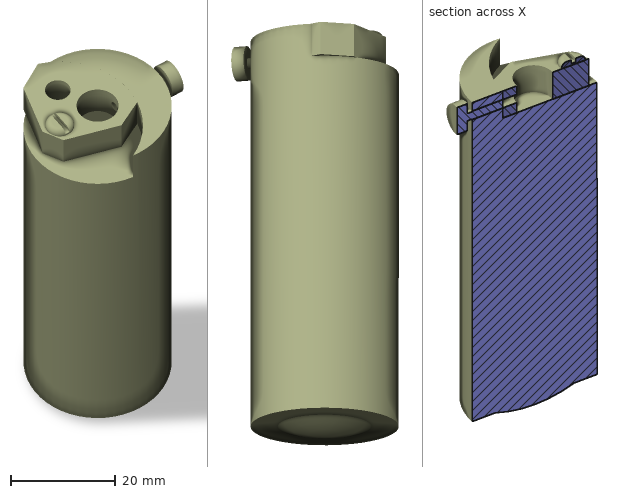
import cadquery as cq
import math

barrel_radius = 14.25
barrel_height = 76.3
dome_radius = 9.0
dome_height = 1.6

plate_thickness = 6.4
plate_bottom = barrel_height - plate_thickness
pivot_y = -8.8
swing_radius = 16.0
plate_tip_x = -15.1
plate_stop_x = 3.6
plate_lower_left = (-11.7, -9.3)
plate_front = (-0.55, -12.4)
plate_front_right = (3.5, -10.3)
plate_right = (6.65, 1.0)
large_hole_radius = 4.0
small_hole_radius = 2.45
small_hole_center = (-7.5, -4.1)

screw_head_radius = 2.8
screw_head_height = 1.3
screw_head_rounding = 1.2
slot_width = 0.95
slot_depth = 0.9

thumb_outer_y = 17.7
thumb_head_thickness = 2.45
thumb_head_radius = 3.3
thumb_shank_radius = 1.0
thumb_tip_y = pivot_y + swing_radius
thumb_z = barrel_height - 3.1


def swing_point(x):
    """Point at the given x on the upper half of the swing circle."""
    return (x, pivot_y + math.sqrt(swing_radius**2 - x**2))


def make_thumb_rod(inner_y):
    """Rod on the thumb screw axis from its head to inner_y: the shank, or a cutter for its hole."""
    shank_start_y = thumb_outer_y - thumb_head_thickness
    return (
        cq.Workplane("XZ", origin=(0, shank_start_y, thumb_z))
        .circle(thumb_shank_radius)
        .extrude(shank_start_y - inner_y)
    )


def make_housing():
    barrel = cq.Workplane("XY").circle(barrel_radius).extrude(barrel_height)
    dome = (
        cq.Workplane("XZ")
        .moveTo(0, 0)
        .lineTo(dome_radius, 0)
        .radiusArc((0, -dome_height), (dome_radius**2 + dome_height**2) / (2 * dome_height))
        .close()
        .revolve(360, (0, 0, 0), (0, 1, 0))
    )
    swing_disc = (
        cq.Workplane("XY", origin=(0, pivot_y, plate_bottom))
        .circle(swing_radius)
        .extrude(plate_thickness)
    )
    return barrel.union(dome).cut(swing_disc).cut(make_thumb_rod(thumb_tip_y))


def make_plate():
    blank = (
        cq.Workplane("XY", origin=(0, 0, plate_bottom))
        .moveTo(*swing_point(plate_tip_x))
        .threePointArc(swing_point((plate_tip_x + plate_stop_x) / 2), swing_point(plate_stop_x))
        .lineTo(*plate_right)
        .lineTo(*plate_front_right)
        .lineTo(*plate_front)
        .lineTo(*plate_lower_left)
        .close()
        .extrude(plate_thickness)
    )
    holes = (
        cq.Workplane("XY", origin=(0, 0, plate_bottom))
        .circle(large_hole_radius)
        .moveTo(*small_hole_center)
        .circle(small_hole_radius)
        .extrude(plate_thickness)
    )
    return blank.cut(holes).cut(make_thumb_rod(0))


def make_pivot_screw():
    head = (
        cq.Workplane("XY", origin=(0, pivot_y, barrel_height))
        .circle(screw_head_radius)
        .extrude(screw_head_height)
        .faces(">Z")
        .edges()
        .fillet(screw_head_rounding)
    )
    slot = (
        cq.Workplane("XY", origin=(0, pivot_y, barrel_height + screw_head_height - slot_depth))
        .rect(2 * screw_head_radius, slot_width)
        .extrude(slot_depth)
    )
    return head.cut(slot)


def make_thumb_screw():
    head = (
        cq.Workplane("XZ", origin=(0, thumb_outer_y, thumb_z))
        .circle(thumb_head_radius)
        .extrude(thumb_head_thickness)
    )
    return head.union(make_thumb_rod(thumb_tip_y))


housing = make_housing()
plate = make_plate()
pivot_screw = make_pivot_screw()
thumb_screw = make_thumb_screw()

result = cq.Compound.makeCompound(
    [housing.val(), plate.val(), pivot_screw.val(), thumb_screw.val()]
)